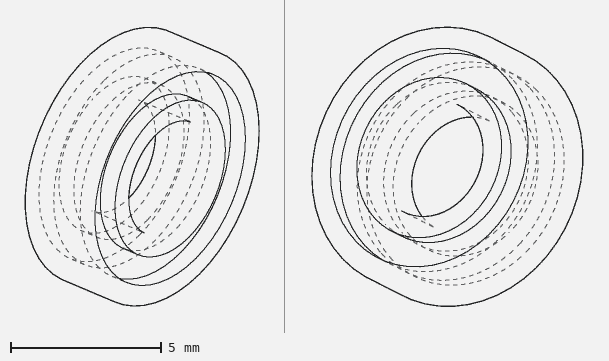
import cadquery as cq

outer_diameter = 9.0
width = 2.5
bore_diameter = 4.0
groove_inner_diameter = 5.5
groove_outer_diameter = 7.5
edge_radius = 0.1

BORE_RIM = 0
OUTER_RIM = -1

ball_radius = 0.77
pitch_radius = (groove_outer_diameter + groove_inner_diameter) / 4


def make_ring(outer, inner):
    """Plain ring centred on the origin, with its axis along X."""
    return (
        cq.Workplane("YZ", origin=(-width / 2, 0, 0))
        .circle(outer / 2)
        .circle(inner / 2)
        .extrude(width)
    )


def round_edges(ring, rim_index):
    """Round the two rim edges at the given place in the order of rising radius."""
    rims = cq.selectors.RadiusNthSelector(rim_index)
    return ring.edges("%CIRCLE").edges(rims).fillet(edge_radius)


def make_ball_row():
    """Torus around X that joins the two rings and bulges toward both side faces."""
    return cq.Workplane(cq.Solid.makeTorus(pitch_radius, ball_radius, dir=cq.Vector(1, 0, 0)))


inner_ring = round_edges(make_ring(groove_inner_diameter, bore_diameter), BORE_RIM)
outer_ring = round_edges(make_ring(outer_diameter, groove_outer_diameter), OUTER_RIM)

result = inner_ring.union(outer_ring).union(make_ball_row())